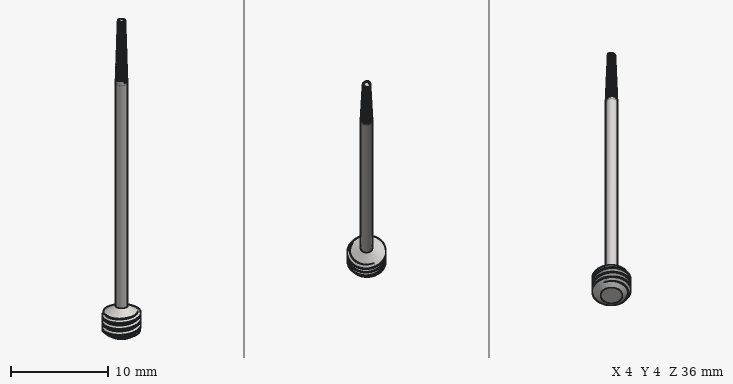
import cadquery as cq
import math

total_length = 36.0
shaft_diameter = 1.25
shaft_radius = shaft_diameter / 2

head_diameter = 4.0
head_radius = head_diameter / 2
head_bottom_radius = 1.1
head_chamfer_height = 0.58
head_cone_base = 3.3
head_cone_slope = 30.0
head_pitch = 0.7
head_thread_depth = 0.32
head_root_width = 0.125
head_groove_start = -0.07
head_turns = 5

taper_start = 28.87
tip_diameter = 0.83
tip_radius = tip_diameter / 2
tip_pitch = 0.3
tip_thread_depth = 0.125
tip_root_width = 0.07
tip_thread_start = 29.15

flank_slope = math.tan(math.radians(30.0))
no_taper = 360.0
cutter_overlap = 0.07


def body():
    """Turned blank: chamfered head, slim shaft and tapered tip."""
    cone_height = (head_radius - shaft_radius) * math.tan(math.radians(head_cone_slope))
    outline = [
        (0, 0),
        (head_bottom_radius, 0),
        (head_radius, head_chamfer_height),
        (head_radius, head_cone_base - cone_height),
        (shaft_radius, head_cone_base),
        (shaft_radius, taper_start),
        (tip_radius, total_length),
        (0, total_length),
    ]
    return cq.Workplane("YZ").polyline(outline).close().revolve(360, (0, 0), (0, 1))


def thread_groove(crest_radius, depth, root_width, pitch, start, height, taper=no_taper):
    """Right-hand groove starting on the +X side; taper is the cone half angle in degrees."""
    root_radius = crest_radius - depth
    outer_radius = crest_radius + cutter_overlap
    half_root = root_width / 2
    half_mouth = half_root + (outer_radius - root_radius) * flank_slope
    profile = [
        (root_radius, start - half_root),
        (outer_radius, start - half_mouth),
        (outer_radius, start + half_mouth),
        (root_radius, start + half_root),
    ]
    helices = [
        cq.Wire.makeHelix(pitch, height, radius, cq.Vector(0, 0, z), angle=taper)
        for radius, z in profile
    ]
    next_helices = helices[1:] + helices[:1]
    sides = [cq.Face.makeRuledSurface(a, b) for a, b in zip(helices, next_helices)]
    ends = []
    for end in (0, 1):
        corners = [helix.positionAt(end) for helix in helices]
        ends.append(cq.Face.makeFromWires(cq.Wire.makePolygon(corners, close=True)))
    return cq.Solid.makeSolid(cq.Shell.makeShell(sides + ends))


head_groove = thread_groove(
    head_radius,
    head_thread_depth,
    head_root_width,
    head_pitch,
    head_groove_start,
    head_turns * head_pitch,
)

taper_length = total_length - taper_start
taper_slope = (shaft_radius - tip_radius) / taper_length
taper_angle = math.degrees(math.atan(taper_slope))
tip_start_radius = shaft_radius - (tip_thread_start - taper_start) * taper_slope
tip_groove = thread_groove(
    tip_start_radius,
    tip_thread_depth,
    tip_root_width,
    tip_pitch,
    tip_thread_start,
    total_length - tip_thread_start + tip_pitch,
    -taper_angle,
)

result = body().cut(head_groove).cut(tip_groove)